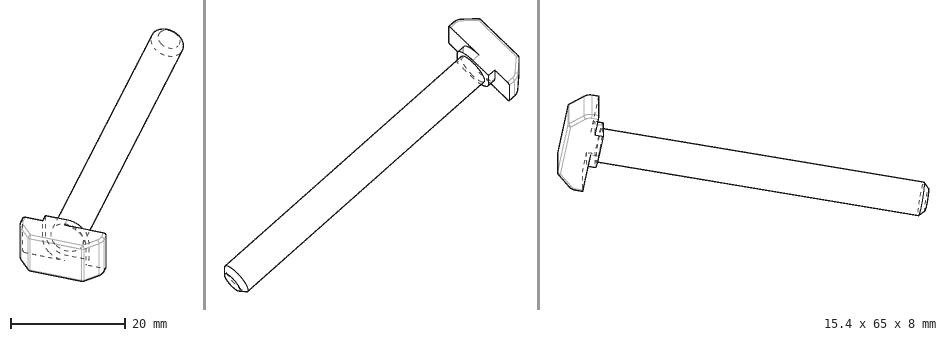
import cadquery as cq
import math

total_length = 65.0
shank_diameter = 6.0
tip_chamfer = 1.0

neck_size = 8.0
neck_length = 1.5

head_width = 15.4
head_depth = 5.0
head_side_depth = 2.0
front_width = 10.0
shoulder_radius = 2.0
nose_radius = 0.5
edge_radius = 0.5

neck_half = neck_size / 2
head_half = head_width / 2
front_half = front_width / 2
shank_length = total_length - head_depth


def make_head():
    """Hammer head with sloped flanks and rounded rims; the back face stays sharp."""
    profile = [
        (-head_half, 0),
        (-head_half, -head_side_depth),
        (-front_half, -head_depth),
        (front_half, -head_depth),
        (head_half, -head_side_depth),
        (head_half, 0),
    ]
    head = cq.Workplane("XY").polyline(profile).close().extrude(neck_half, both=True)

    shoulder_edges = "|Z and (not >Y) and (not <Y)"
    front_edges = "|Z and <Y"
    head = head.edges(shoulder_edges).fillet(shoulder_radius)
    head = head.edges(front_edges).fillet(nose_radius)
    return head.faces("|Z").edges("not >Y").fillet(edge_radius)


def make_neck():
    """Locking neck: two opposite corners square, the other two fully rounded."""
    diagonal = neck_half * math.sqrt(0.5)
    return (
        cq.Workplane("XZ")
        .moveTo(0, neck_half)
        .threePointArc((diagonal, diagonal), (neck_half, 0))
        .lineTo(neck_half, -neck_half)
        .lineTo(0, -neck_half)
        .threePointArc((-diagonal, -diagonal), (-neck_half, 0))
        .lineTo(-neck_half, neck_half)
        .close()
        .extrude(-neck_length)
    )


def make_shank():
    """Plain round shank with a chamfered tip."""
    shank = cq.Workplane("XZ").circle(shank_diameter / 2).extrude(-shank_length)
    return shank.faces(">Y").chamfer(tip_chamfer)


result = make_head().union(make_neck()).union(make_shank())